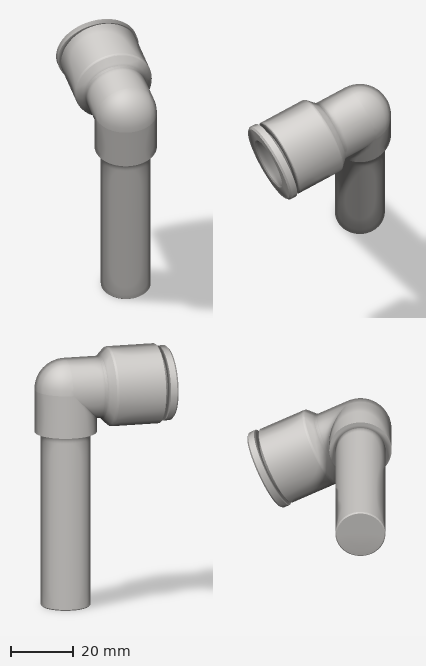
import cadquery as cq


elbow_radius = 10.0
elbow_drop = 14.0

stem_diameter = 16.0
overall_height = 84.1
stem_end_chamfer = 0.4

body_radius = 12.85
overall_length = 44.0
socket_reach = overall_length - elbow_radius
body_start = 3.85
shoulder_start = 19.97
shoulder_end = 22.9
shoulder_fillet = 1.05
body_edge_chamfer = 0.25

collar_width = 27.0
collar_height = 23.9
collar_thickness = 2.65
collar_chamfer = 0.6
neck_radius = 9.55

bore_diameter = 16.2
bore_depth = 22.0
bore_chamfer = 0.4

stem_bottom = body_radius - overall_height
collar_face = -socket_reach
socket_plane = cq.Plane(origin=(collar_face, 0, 0), xDir=(0, 1, 0), normal=(1, 0, 0))


def make_elbow():
    """Spherical corner with a downward leg of the same radius."""
    corner = cq.Workplane("XY").sphere(elbow_radius)
    leg = cq.Workplane("XY").circle(elbow_radius).extrude(-elbow_drop)
    return corner.union(leg)


def make_stem():
    """Plug-in stem with a chamfered lower end."""
    stem = cq.Workplane("XY").workplane(offset=stem_bottom)
    stem = stem.circle(stem_diameter / 2).extrude(-elbow_drop - stem_bottom)
    return stem.faces("<Z").chamfer(stem_end_chamfer)


def make_socket_body():
    """Body of revolution about X with a conical shoulder down to the elbow radius."""
    body_face = collar_face + body_start
    shoulder_top = collar_face + shoulder_start
    shoulder_foot = collar_face + shoulder_end
    profile = (
        cq.Workplane("XZ")
        .moveTo(body_face, 0)
        .lineTo(body_face, body_radius)
        .lineTo(shoulder_top, body_radius)
        .lineTo(shoulder_foot, elbow_radius)
        .lineTo(0, elbow_radius)
        .lineTo(0, 0)
        .close()
    )
    body = profile.revolve(360, (0, 0, 0), (1, 0, 0))
    body = body.faces("<X").chamfer(body_edge_chamfer)
    shoulder_edges = cq.selectors.BoxSelector(
        (shoulder_top - shoulder_fillet, -body_radius, -body_radius),
        (shoulder_foot + shoulder_fillet, body_radius, body_radius),
    )
    return body.edges(shoulder_edges).edges("%CIRCLE").fillet(shoulder_fillet)


def make_release_collar():
    """Oval collar on a round neck that enters the socket body."""
    collar = cq.Workplane(socket_plane).ellipse(collar_width / 2, collar_height / 2)
    collar = collar.extrude(collar_thickness).faces("<X").chamfer(collar_chamfer)
    neck = cq.Workplane(socket_plane).workplane(offset=collar_thickness)
    neck = neck.circle(neck_radius).extrude(body_start - collar_thickness)
    return collar.union(neck)


def make_bore():
    """Blind tube bore with a chamfered mouth."""
    bore_radius = bore_diameter / 2
    bore = cq.Workplane(socket_plane).circle(bore_radius).extrude(bore_depth)
    mouth = cq.Solid.makeCone(
        bore_radius + bore_chamfer,
        bore_radius,
        bore_chamfer,
        pnt=cq.Vector(collar_face, 0, 0),
        dir=cq.Vector(1, 0, 0),
    )
    return bore.union(cq.Workplane(mouth))


fitting = make_socket_body().union(make_elbow()).union(make_stem()).union(make_release_collar())
result = fitting.cut(make_bore())